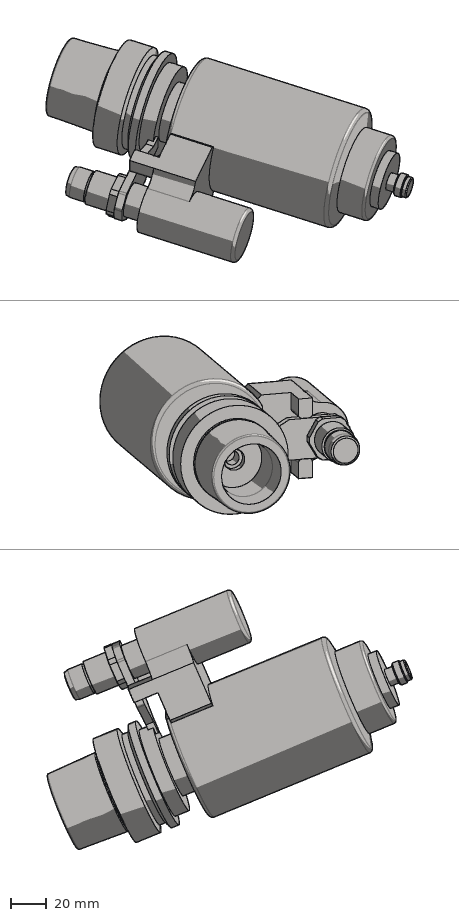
import cadquery as cq
import math

SHANK_NOSE_DIA = 45.8
SHANK_BASE_DIA = 48.0
SHANK_NOSE_FILLET = 0.8
RELIEF_START = 29.7
RELIEF_DIA = 46.7
RELIEF_SLOPE = 0.6

FLANGE_START = 31.8
FLANGE_END = 57.6
FLANGE_DIA = 63.0
GROOVE_DIA = 55.0
GROOVE_FRONT_EDGE = 46.5
GROOVE_FLOOR_START = 47.7
GROOVE_FLOOR_END = 51.3
GROOVE_REAR_EDGE = 53.2

COLLAR_END = 66.0
COLLAR_DIA = 52.5
NECK_DIA = 35.0

BODY_START = 75.5
BODY_END = 174.3
BODY_DIA = 70.0
BODY_FILLET = 2.0
SHOULDER_END = 176.2

CAP_END = 192.6
CAP_DIA = 50.0
CAP_FILLET = 1.5
STEP_END = 197.7
STEP_DIA = 33.0

STEM_DIA = 10.0
KNOB_START = 202.5
KNOB_END = 207.0
KNOB_DIA = 13.5
KNOB_CHAMFER = 0.8
TIP_GROOVE_END = 207.5
TIP_GROOVE_DIA = 11.5
TIP_END = 210.3
TIP_DIA = 12.0
TIP_CHAMFER = 0.6

BORE_MOUTH_DIA = 35.0
BORE_DIA = 32.0
BORE_TAPER_DEPTH = 11.5
BORE_DEPTH = FLANGE_START
COUNTERBORE_DIA = 12.0
COUNTERBORE_DEPTH = 4.2
PILOT_DIA = 8.0
PILOT_DEPTH = 8.5

SIDE_Y = -65.2
SIDE_START = 78.0
SIDE_END = 136.3
SIDE_DIA = 32.0
SIDE_FILLET = 1.9
PLUG_START = 31.8
PLUG_FACE_DIA = 14.5
PLUG_RIM_END = 32.2
PLUG_RIM_DIA = 16.8
PLUG_TAPER_END = 34.7
PLUG_DIA = 18.0
PLUG_GROOVE_START = 43.1
PLUG_GROOVE_DIA = 17.2
ROD_START = 44.4
ROD_DIA = 20.0

NUT_START = 58.3
NUT_ACROSS_FLATS = 24.0
NUT_ROUNDING_DIA = 26.0

BLOCK_END = 103.3
BLOCK_HALF_HEIGHT = 23.1
BLOCK_INNER_Y = -28.2
BLOCK_OUTER_Y = -55.7
BLOCK_CHAMFER = 2.0
FLAT_Y = BLOCK_INNER_Y - BLOCK_CHAMFER

LEG_START = 63.5
LEG_INNER_Y = -47.5
LEG_FILLET = 2.0

PLATE_START = 62.9
PLATE_END = 67.5
PLATE_HALF_HEIGHT = 11.8
PLATE_CORNER_FILLET = 1.7
PLATE_TIP_Y = -22.0
PLATE_TIP_CORNER_Y = -29.0
PLATE_SHOULDER_Y = -41.9
PLATE_TIP_HALF_HEIGHT = 4.6
PLATE_END_Y = -77.4
PLATE_END_HALF_HEIGHT = 4.8
PLATE_END_CORNER_Y = PLATE_END_Y + PLATE_HALF_HEIGHT - PLATE_END_HALF_HEIGHT


def turned(stations, axis_y=0.0):
    """Solid of revolution about a line parallel to X, from (x, diameter) stations."""
    outline = [(x, diameter / 2) for x, diameter in stations]
    outline = [(outline[0][0], 0)] + outline + [(outline[-1][0], 0)]
    solid = cq.Workplane("XY").polyline(outline).close().revolve(360, (0, 0, 0), (1, 0, 0))
    return solid.translate((0, axis_y, 0))


def along_x(start):
    """Plane across X at the given station, with local axes (Y, Z)."""
    return cq.Workplane("YZ").workplane(offset=start)


def box(x_range, y_range, z_range):
    (x0, x1), (y0, y1), (z0, z1) = x_range, y_range, z_range
    return cq.Workplane("XY").box(x1 - x0, y1 - y0, z1 - z0, centered=False).translate((x0, y0, z0))


def make_shank():
    taper = turned([(0, SHANK_NOSE_DIA), (RELIEF_START, SHANK_BASE_DIA)])
    taper = taper.faces("<X").edges().fillet(SHANK_NOSE_FILLET)
    relief = turned([
        (RELIEF_START, SHANK_BASE_DIA),
        (RELIEF_START + RELIEF_SLOPE, RELIEF_DIA),
        (FLANGE_START - RELIEF_SLOPE, RELIEF_DIA),
        (FLANGE_START, SHANK_BASE_DIA),
    ])
    return taper.union(relief)


def make_flange():
    return turned([
        (FLANGE_START, FLANGE_DIA),
        (GROOVE_FRONT_EDGE, FLANGE_DIA),
        (GROOVE_FLOOR_START, GROOVE_DIA),
        (GROOVE_FLOOR_END, GROOVE_DIA),
        (GROOVE_REAR_EDGE, FLANGE_DIA),
        (FLANGE_END, FLANGE_DIA),
        (FLANGE_END, COLLAR_DIA),
        (COLLAR_END, COLLAR_DIA),
        (COLLAR_END, NECK_DIA),
        (BODY_START, NECK_DIA),
    ])


def make_body():
    barrel = turned([(BODY_START, BODY_DIA), (BODY_END, BODY_DIA)])
    barrel = barrel.faces("<X or >X").edges().fillet(BODY_FILLET)
    front_flat = box(
        (BODY_START, SIDE_START),
        (-BODY_DIA, FLAT_Y),
        (-BODY_DIA, BODY_DIA),
    )
    cap = turned([
        (BODY_END, BODY_DIA - 2 * BODY_FILLET),
        (SHOULDER_END, CAP_DIA),
        (CAP_END, CAP_DIA),
    ])
    cap = cap.faces(">X").edges().fillet(CAP_FILLET)
    return barrel.cut(front_flat).union(cap)


def make_rear_connector():
    return turned([
        (CAP_END, STEP_DIA),
        (STEP_END, STEP_DIA),
        (STEP_END, STEM_DIA),
        (KNOB_START, STEM_DIA),
        (KNOB_START, KNOB_DIA - 2 * KNOB_CHAMFER),
        (KNOB_START + KNOB_CHAMFER, KNOB_DIA),
        (KNOB_END, KNOB_DIA),
        (KNOB_END, TIP_GROOVE_DIA),
        (TIP_GROOVE_END, TIP_GROOVE_DIA),
        (TIP_GROOVE_END, TIP_DIA),
        (TIP_END - TIP_CHAMFER, TIP_DIA),
        (TIP_END, TIP_DIA - 2 * TIP_CHAMFER),
    ])


def make_bore():
    counterbore_floor = BORE_DEPTH + COUNTERBORE_DEPTH
    return turned([
        (0, BORE_MOUTH_DIA),
        (BORE_TAPER_DEPTH, BORE_DIA),
        (BORE_DEPTH, BORE_DIA),
        (BORE_DEPTH, COUNTERBORE_DIA),
        (counterbore_floor, COUNTERBORE_DIA),
        (counterbore_floor, PILOT_DIA),
        (counterbore_floor + PILOT_DEPTH, PILOT_DIA),
    ])


def make_side_cylinder():
    cylinder = turned([(SIDE_START, SIDE_DIA), (SIDE_END, SIDE_DIA)], SIDE_Y)
    cylinder = cylinder.faces(">X").edges().fillet(SIDE_FILLET)
    plug = turned([
        (PLUG_START, PLUG_FACE_DIA),
        (PLUG_RIM_END, PLUG_RIM_DIA),
        (PLUG_TAPER_END, PLUG_DIA),
        (PLUG_GROOVE_START, PLUG_DIA),
        (PLUG_GROOVE_START, PLUG_GROOVE_DIA),
        (ROD_START, PLUG_GROOVE_DIA),
        (ROD_START, ROD_DIA),
        (SIDE_START, ROD_DIA),
    ], SIDE_Y)
    across_corners = NUT_ACROSS_FLATS / math.cos(math.pi / 6)
    nut = along_x(NUT_START).center(SIDE_Y, 0).polygon(6, across_corners).extrude(PLATE_START - NUT_START)
    nut = nut.intersect(turned([(NUT_START, NUT_ROUNDING_DIA), (PLATE_START, NUT_ROUNDING_DIA)], SIDE_Y))
    return cylinder.union(plug).union(nut)


def make_block():
    """Block whose hollow corners run tangent into the top and bottom of the side cylinder."""
    side_radius = SIDE_DIA / 2
    run = BLOCK_OUTER_Y - SIDE_Y
    rise = BLOCK_HALF_HEIGHT - side_radius
    blend_radius = (run ** 2 + rise ** 2) / (2 * rise)
    half_angle = math.asin(run / blend_radius) / 2
    blend_mid = (
        SIDE_Y + blend_radius * math.sin(half_angle),
        side_radius + blend_radius * (1 - math.cos(half_angle)),
    )
    upper_half = (
        along_x(SIDE_START)
        .moveTo(BLOCK_INNER_Y, 0)
        .lineTo(BLOCK_INNER_Y, BLOCK_HALF_HEIGHT - BLOCK_CHAMFER)
        .lineTo(FLAT_Y, BLOCK_HALF_HEIGHT)
        .lineTo(BLOCK_OUTER_Y, BLOCK_HALF_HEIGHT)
        .threePointArc(blend_mid, (SIDE_Y, side_radius))
        .lineTo(SIDE_Y, 0)
        .close()
        .extrude(BLOCK_END - SIDE_START)
    )
    return upper_half.union(upper_half.mirror("XY"))


def make_legs():
    leg = box(
        (LEG_START, SIDE_START),
        (BLOCK_OUTER_Y, LEG_INNER_Y),
        (PLATE_HALF_HEIGHT, BLOCK_HALF_HEIGHT),
    )
    leg = leg.faces("<Z").edges("|X").fillet(LEG_FILLET)
    return leg.union(leg.mirror("XY"))


def make_plate():
    upper_edge = [
        (PLATE_TIP_Y, PLATE_TIP_HALF_HEIGHT),
        (PLATE_TIP_CORNER_Y, PLATE_TIP_HALF_HEIGHT),
        (PLATE_SHOULDER_Y, PLATE_HALF_HEIGHT),
        (PLATE_END_CORNER_Y, PLATE_HALF_HEIGHT),
        (PLATE_END_Y, PLATE_END_HALF_HEIGHT),
    ]
    lower_edge = [(y, -z) for y, z in reversed(upper_edge)]
    plate = along_x(PLATE_START).polyline(upper_edge + lower_edge).close().extrude(PLATE_END - PLATE_START)
    outer_corners = cq.selectors.BoxSelector(
        (PLATE_START, PLATE_SHOULDER_Y + PLATE_CORNER_FILLET, -BLOCK_HALF_HEIGHT),
        (PLATE_END, PLATE_END_Y - PLATE_CORNER_FILLET, BLOCK_HALF_HEIGHT),
    )
    return plate.edges("|X").edges(outer_corners).fillet(PLATE_CORNER_FILLET)


spindle = make_shank().union(make_flange()).union(make_body()).union(make_rear_connector())
spindle = spindle.cut(make_bore())
side_unit = make_side_cylinder().union(make_block()).union(make_legs()).union(make_plate())
result = spindle.union(side_unit)